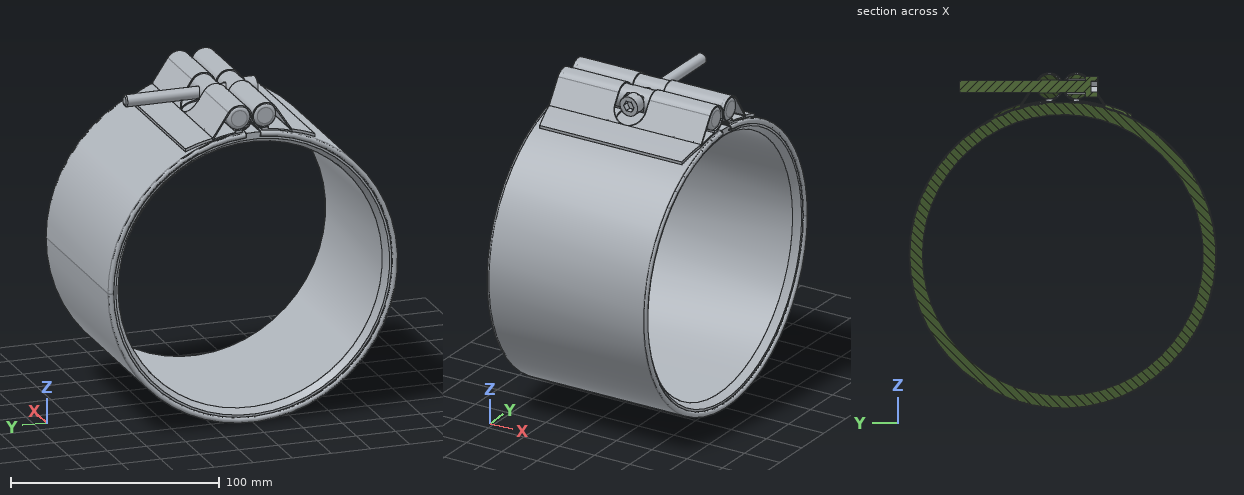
import cadquery as cq
import math


overall_height = 161.5
ring_length = 90.5
casing_radius = 74.0
gasket_radius = 146.8 / 2
casing_wall = casing_radius - gasket_radius
rim_radius = 1.5
split_width = 7.5
bore_radius = 134.8 / 2
chamfer_start_radius = 69.9
chamfer_depth = 3.5

pin_diameter = 12.0
pin_radius = pin_diameter / 2
pin_length = 86.2
pin_edge_fillet = 2.0
bolt_hole_diameter = 7.0
spotface_diameter = pin_diameter

sheet = 0.6
lug_top_z = overall_height - casing_radius
loop_radius = pin_radius + sheet
pin_offset_y = loop_radius
pin_z = lug_top_z - loop_radius
layer_radius = casing_radius + sheet
foot_radius = layer_radius + sheet
lug_length = pin_length
bend_y = 20.2
foot_end_y = 33.1
foot_end_half_width = 40.2
lower_layer_start_y = 5.2
neck_width = 3.2
slot_width = 17.5
slot_length = 48.5
slot_depth = 32.3

shank_diameter = 6.0
head_diameter = 10.0
head_height = 6.0
head_seat_y = -10.8
bolt_tip_y = 49.7
tip_chamfer = 0.6
socket_flats = 5.0
socket_depth = 3.2


def x_cylinder(radius, length, y=0.0, z=0.0):
    """Cylinder along X, centred on X = 0."""
    return cq.Workplane("YZ", origin=(-length / 2, y, z)).circle(radius).extrude(length)


def y_cylinder(diameter, y_start, y_end):
    """Cylinder on the bolt axis."""
    plane = cq.Plane(origin=(0, y_start, pin_z), xDir=(1, 0, 0), normal=(0, 1, 0))
    return cq.Workplane(plane).circle(diameter / 2).extrude(y_end - y_start)


def block(y_start, y_end, z_start, z_end, width):
    """Box centred on X = 0."""
    return cq.Workplane("XY").box(width, y_end - y_start, z_end - z_start).translate(
        (0, (y_start + y_end) / 2, (z_start + z_end) / 2))


def yz_prism(points):
    """Polygon in the YZ plane, extruded over the lug length."""
    return cq.Workplane("YZ", origin=(-lug_length / 2, 0, 0)).polyline(points).close().extrude(lug_length)


def circle_z(radius, y):
    """Height of a circle about the ring axis at a given Y."""
    return math.sqrt(radius ** 2 - y ** 2)


def make_casing():
    """Thin ring whose ends curl inward in half-round rims, split at the top."""
    rim_x = ring_length / 2 - rim_radius
    rim_center = casing_radius - rim_radius
    rim_inside = rim_radius - casing_wall
    profile = (
        cq.Workplane("XY")
        .moveTo(-rim_x, casing_radius)
        .lineTo(rim_x, casing_radius)
        .threePointArc((rim_x + rim_radius, rim_center), (rim_x, rim_center - rim_radius))
        .lineTo(rim_x, rim_center - rim_inside)
        .threePointArc((rim_x + rim_inside, rim_center), (rim_x, gasket_radius))
        .lineTo(-rim_x, gasket_radius)
        .threePointArc((-rim_x - rim_inside, rim_center), (-rim_x, rim_center - rim_inside))
        .lineTo(-rim_x, rim_center - rim_radius)
        .threePointArc((-rim_x - rim_radius, rim_center), (-rim_x, casing_radius))
        .close()
    )
    split = block(-split_width / 2, split_width / 2, 0, casing_radius, ring_length)
    return profile.revolve(360, (0, 0, 0), (1, 0, 0)).cut(split)


def make_gasket():
    """Sleeve between the casing rims, with a conical lead-in at each end of the bore."""
    half_length = ring_length / 2 - rim_radius
    body = x_cylinder(gasket_radius, 2 * half_length)
    bore_profile = [
        (-half_length, 0),
        (-half_length, chamfer_start_radius),
        (-half_length + chamfer_depth, bore_radius),
        (half_length - chamfer_depth, bore_radius),
        (half_length, chamfer_start_radius),
        (half_length, 0),
    ]
    bore = cq.Workplane("XY").polyline(bore_profile).close().revolve(360, (0, 0, 0), (1, 0, 0))
    return body.cut(bore)


def leg_tangent(radius, foot_y, foot_z):
    """Point where a line from the foot touches the outer side of a circle about the pin."""
    to_pin_y = pin_offset_y - foot_y
    to_pin_z = pin_z - foot_z
    distance = math.hypot(to_pin_y, to_pin_z)
    direction = math.atan2(to_pin_z, to_pin_y) - math.asin(radius / distance)
    length = math.sqrt(distance ** 2 - radius ** 2)
    return (foot_y + length * math.cos(direction), foot_z + length * math.sin(direction))


def make_loop_region(radius, foot_y, foot_z):
    """Teardrop of a circle about the pin and the wedge under the sloping leg."""
    wedge = yz_prism([
        (pin_offset_y, pin_z),
        leg_tangent(radius, foot_y, foot_z),
        (foot_y, foot_z),
        (pin_offset_y, circle_z(casing_radius, pin_offset_y)),
    ])
    return x_cylinder(radius, lug_length, pin_offset_y, pin_z).union(wedge)


def make_foot_layer(outer_radius, y_start):
    """Curved sheet between the casing and outer_radius, from y_start to the foot end."""
    ring = x_cylinder(outer_radius, lug_length).cut(x_cylinder(casing_radius, lug_length))
    return ring.intersect(block(y_start, foot_end_y, 0, lug_top_z, lug_length))


def make_lug_outline():
    """Plan outline of the +Y lug: straight over the loop, tapered along the foot."""
    half = lug_length / 2
    outline = [
        (-half, -pin_offset_y), (half, -pin_offset_y), (half, bend_y),
        (foot_end_half_width, foot_end_y), (-foot_end_half_width, foot_end_y), (-half, bend_y),
    ]
    return cq.Workplane("XY").polyline(outline).close().extrude(lug_top_z)


def make_lug_slot(bend_z):
    """Round-ended slot, square to the leg, from the bend up over the loop and through both layers."""
    tangent_y, tangent_z = leg_tangent(loop_radius, bend_y, bend_z)
    up_y = tangent_y - bend_y
    up_z = tangent_z - bend_z
    leg_plane = cq.Plane(origin=(0, bend_y, bend_z), xDir=(0, up_y, up_z), normal=(0, up_z, -up_y))
    slot = cq.Workplane(leg_plane).center(slot_length / 2, 0).slot2D(slot_length, slot_width)
    return slot.extrude(slot_depth, both=True)


def make_lower_layer():
    """Sheet under the loop and the foot, with a plain slot straight below the leg slot."""
    slot = cq.Workplane("XY").slot2D(2 * bend_y, slot_width, 90).extrude(lug_top_z)
    return make_foot_layer(layer_radius, lower_layer_start_y).cut(slot)


def make_lug():
    """The +Y lug: slotted loop around the pin, neck below it and a double foot on the casing."""
    bend_z = circle_z(foot_radius, bend_y)
    loop = make_loop_region(loop_radius, bend_y, bend_z)
    neck = block(pin_offset_y - neck_width / 2, pin_offset_y + neck_width / 2,
                 circle_z(casing_radius, pin_offset_y), pin_z, lug_length)

    tangent_y, tangent_z = leg_tangent(loop_radius, bend_y, bend_z)
    inward_y = (pin_offset_y - tangent_y) / loop_radius * sheet
    inward_z = (pin_z - tangent_z) / loop_radius * sheet
    hollow = make_loop_region(pin_radius, bend_y + inward_y, bend_z + inward_z)
    pin_space = x_cylinder(pin_radius, lug_length, pin_offset_y, pin_z)

    lug = loop.cut(hollow).union(neck.cut(pin_space))
    lug = lug.union(make_lower_layer())
    lug = lug.union(make_foot_layer(foot_radius, bend_y))

    lug = lug.cut(make_lug_slot(bend_z)).cut(x_cylinder(casing_radius, lug_length))
    return lug.intersect(make_lug_outline())


def make_pin(y):
    return x_cylinder(pin_radius, pin_length, y, pin_z).faces("<X or >X").edges().fillet(pin_edge_fillet)


def make_head_pin():
    """The -Y pin, with a clearance hole and a spotface for the bolt head."""
    hole = y_cylinder(bolt_hole_diameter, -2 * pin_diameter, 0)
    spotface = y_cylinder(spotface_diameter, -2 * pin_diameter, head_seat_y)
    return make_pin(-pin_offset_y).cut(hole).cut(spotface)


def make_nut_pin():
    """The +Y pin, with a hole that the bolt shank fills."""
    return make_pin(pin_offset_y).cut(y_cylinder(shank_diameter, 0, bolt_tip_y))


def make_bolt():
    """Socket head bolt along +Y."""
    head_end_y = head_seat_y - head_height
    shank = y_cylinder(shank_diameter, head_seat_y, bolt_tip_y).faces(">Y").chamfer(tip_chamfer)
    head = y_cylinder(head_diameter, head_end_y, head_seat_y)
    socket_plane = cq.Plane(origin=(0, head_end_y, pin_z), xDir=(1, 0, 0), normal=(0, 1, 0))
    corner_diameter = socket_flats / math.cos(math.pi / 6)
    socket = cq.Workplane(socket_plane).polygon(6, corner_diameter).extrude(socket_depth)
    return shank.union(head).cut(socket)


casing = make_casing()
gasket = make_gasket()
lug = make_lug()
lugs = [lug.rotate((0, 0, 0), (0, 0, 1), angle) for angle in (0, 180)]
head_pin = make_head_pin()
nut_pin = make_nut_pin()
bolt = make_bolt()

result = cq.Compound.makeCompound([
    casing.val(),
    gasket.val(),
    *[each.val() for each in lugs],
    head_pin.val(),
    nut_pin.val(),
    bolt.val(),
])